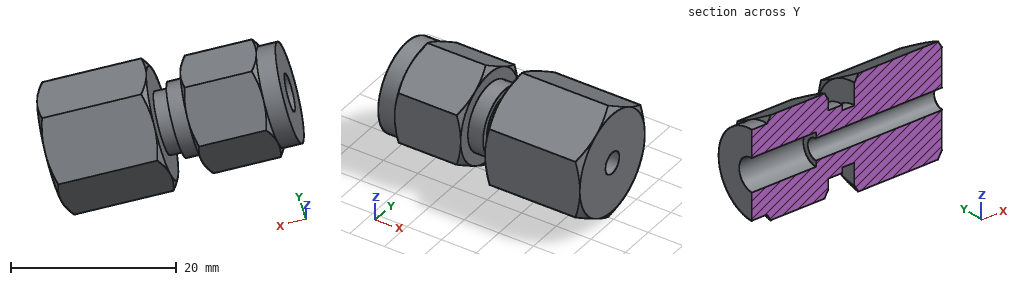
import cadquery as cq
import math


collar_length = 2.39
nut_length = 9.56
shoulder_length = 2.2
neck_length = 1.84
overall_length = 29.71

nut_start = collar_length
nut_end = nut_start + nut_length
shoulder_end = nut_end + shoulder_length
body_start = shoulder_end + neck_length
body_length = overall_length - body_start

nut_across_flats = 12.7
body_across_flats = 14.28
collar_diameter = 12.7
shoulder_diameter = 9.55
neck_diameter = 8.0
chamfer_angle = 30.0

tube_bore_diameter = 4.76
tube_bore_depth = 10.0
through_bore_diameter = 3.05


def cylinder(start, length, diameter):
    """Solid cylinder on the X axis beginning at X = start."""
    return cq.Workplane("YZ", origin=(start, 0, 0)).circle(diameter / 2).extrude(length)


def chamfered_hexagon(start, length, across_flats):
    """Hexagonal prism with corners up and down (Z), both ends turned to a cone."""
    corner_radius = across_flats / 2 / math.cos(math.pi / 6)
    flat_radius = across_flats / 2
    cone_length = (corner_radius - flat_radius) * math.tan(math.radians(chamfer_angle))
    end = start + length
    prism = (
        cq.Workplane("YZ", origin=(start, 0, 0))
        .polygon(6, 2 * corner_radius)
        .extrude(length)
        .rotate((0, 0, 0), (1, 0, 0), 90)
    )
    turned_blank = (
        cq.Workplane("XZ")
        .moveTo(start, 0)
        .lineTo(start, flat_radius)
        .lineTo(start + cone_length, corner_radius)
        .lineTo(end - cone_length, corner_radius)
        .lineTo(end, flat_radius)
        .lineTo(end, 0)
        .close()
        .revolve(360, (0, 0, 0), (1, 0, 0))
    )
    return prism.intersect(turned_blank)


collar = cylinder(0, collar_length, collar_diameter)
nut = chamfered_hexagon(nut_start, nut_length, nut_across_flats)
shoulder = cylinder(nut_end, shoulder_length, shoulder_diameter)
neck = cylinder(shoulder_end, neck_length, neck_diameter)
body = chamfered_hexagon(body_start, body_length, body_across_flats)

tube_bore = cylinder(0, tube_bore_depth, tube_bore_diameter)
through_bore = cylinder(0, overall_length, through_bore_diameter)

fitting = collar.union(nut).union(shoulder).union(neck).union(body)
result = fitting.cut(tube_bore).cut(through_bore)